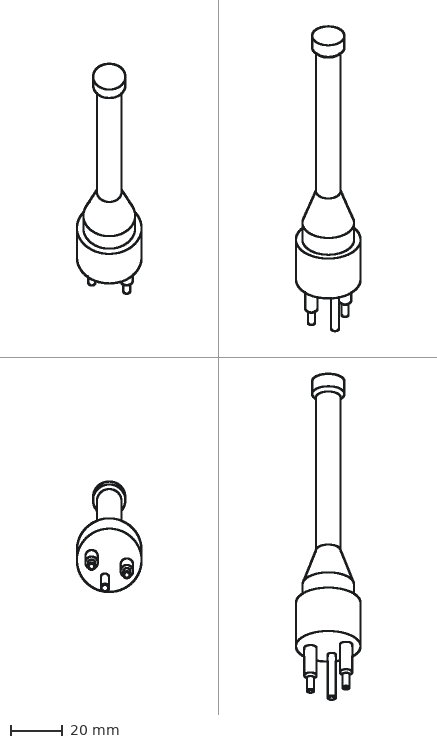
import cadquery as cq

base_diameter = 25.0
base_height = 19.0
collar_diameter = 20.0
collar_height = 8.0
cone_height = 15.0
shaft_diameter = 9.5
shaft_length = 67.0
cap_diameter = 12.5
cap_height = 7.0
cap_bevel = (cap_diameter - shaft_diameter) / 2

pin_length = 19.0
pin_circle_radius = 7.0
pin_tip_chamfer = 0.3
plain_pin_diameter = 3.2
stepped_pin_diameter = 4.8
stepped_pin_tip_diameter = 2.8
stepped_pin_shank_length = 12.0
stepped_pin_bevel = (stepped_pin_diameter - stepped_pin_tip_diameter) / 2
pin_overlap = 1.0


def turned_body():
    """Base, collar, tapered neck, shaft and cap as one revolved profile."""
    collar_bottom = base_height
    cone_bottom = collar_bottom + collar_height
    shaft_bottom = cone_bottom + cone_height
    cap_bottom = shaft_bottom + shaft_length
    cap_top = cap_bottom + cap_height
    profile = [
        (0, 0),
        (base_diameter / 2, 0),
        (base_diameter / 2, collar_bottom),
        (collar_diameter / 2, collar_bottom),
        (collar_diameter / 2, cone_bottom),
        (shaft_diameter / 2, shaft_bottom),
        (shaft_diameter / 2, cap_bottom),
        (cap_diameter / 2, cap_bottom + cap_bevel),
        (cap_diameter / 2, cap_top),
        (0, cap_top),
    ]
    return cq.Workplane("XZ").polyline(profile).close().revolve(360, (0, 0), (0, 1))


def pin_rod(diameter, length):
    """Round rod below Z = 0 with a chamfered tip and its root inside the base."""
    rod = cq.Workplane("XY").workplane(offset=-length).circle(diameter / 2).extrude(length + pin_overlap)
    return rod.faces("<Z").chamfer(pin_tip_chamfer)


def plain_pin():
    return pin_rod(plain_pin_diameter, pin_length)


def stepped_pin():
    """Thick shank that bevels down to a thin tip."""
    shank_length = stepped_pin_shank_length + stepped_pin_bevel
    shank = (
        cq.Workplane("XY")
        .workplane(offset=-shank_length)
        .circle(stepped_pin_diameter / 2)
        .extrude(shank_length + pin_overlap)
        .faces("<Z")
        .chamfer(stepped_pin_bevel)
    )
    return shank.union(pin_rod(stepped_pin_tip_diameter, pin_length))


result = turned_body()
for side in (-1, 1):
    result = result.union(stepped_pin().translate((side * pin_circle_radius, 0, 0)))
result = result.union(plain_pin().translate((0, pin_circle_radius, 0)))